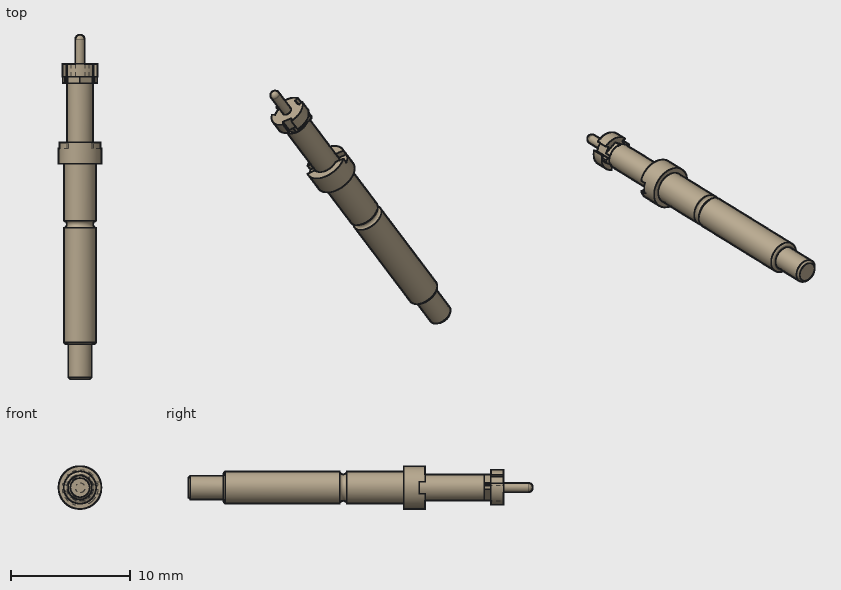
import cadquery as cq
import math


tail_length = 2.95
barrel_end = 18.0
collar_length = 1.8
collar_end = barrel_end + collar_length
sleeve_end = 24.75
neck_length = 0.53
neck_end = sleeve_end + neck_length
head_length = 1.07
head_end = neck_end + head_length
overall_length = 28.8

tail_diameter = 2.0
barrel_diameter = 2.7
collar_diameter = 3.6
sleeve_diameter = 2.2
head_diameter = 3.0
neck_diameter = 2.9
plunger_diameter = 0.8

tail_chamfer = 0.2
barrel_nose_length = 0.17
barrel_nose_depth = 0.25
barrel_nose_bulge = 0.05

groove_center = 12.96
groove_half_width = 0.3
groove_depth = 0.24

collar_slot_width = 1.0
collar_slot_depth = 0.5

neck_apex_height = 1.1
neck_tip_half_height = 0.13

tooth_count = 3
tooth_slot_width = 0.8
tooth_slot_floor = 1.1
first_slot_angle = 30


def cylinder(diameter, start, end):
    """Cylinder on the Y axis between two stations."""
    plane = cq.Plane(origin=(0, start, 0), xDir=(1, 0, 0), normal=(0, 1, 0))
    return cq.Workplane(plane).circle(diameter / 2).extrude(end - start)


def make_tail():
    tail = cylinder(tail_diameter, 0, tail_length)
    return tail.faces("<Y").chamfer(tail_chamfer)


def make_barrel():
    """Barrel with a rounded rear edge and a round groove, turned about Y."""
    radius = barrel_diameter / 2
    nose_chord = math.hypot(barrel_nose_depth, barrel_nose_length)
    nose_middle = (
        radius - barrel_nose_depth / 2 + barrel_nose_bulge * barrel_nose_length / nose_chord,
        tail_length + barrel_nose_length / 2 - barrel_nose_bulge * barrel_nose_depth / nose_chord,
    )
    profile = (
        cq.Workplane("XY")
        .moveTo(0, tail_length)
        .lineTo(radius - barrel_nose_depth, tail_length)
        .threePointArc(nose_middle, (radius, tail_length + barrel_nose_length))
        .lineTo(radius, groove_center - groove_half_width)
        .threePointArc(
            (radius - groove_depth, groove_center),
            (radius, groove_center + groove_half_width),
        )
        .lineTo(radius, barrel_end)
        .lineTo(0, barrel_end)
        .close()
    )
    return profile.revolve(360, (0, 0, 0), (0, 1, 0))


def make_collar():
    collar = cylinder(collar_diameter, barrel_end, collar_end)
    slot = cq.Workplane("XY").box(collar_diameter, collar_slot_depth, collar_slot_width)
    return collar.cut(slot.translate((0, collar_end - collar_slot_depth / 2, 0)))


def make_neck():
    """Diamond section whose side tips are cut off by a cylinder."""
    half_width = neck_diameter / 2
    slope = (neck_apex_height - neck_tip_half_height) / half_width
    diamond_reach = neck_apex_height / slope
    diamond = (
        cq.Workplane("XZ", origin=(0, neck_end, 0))
        .polyline([
            (0, neck_apex_height),
            (diamond_reach, 0),
            (0, -neck_apex_height),
            (-diamond_reach, 0),
        ])
        .close()
        .extrude(neck_length)
    )
    return diamond.intersect(cylinder(neck_diameter, sleeve_end, neck_end))


def cut_tooth_slots(body):
    """Flat-bottomed slots through the head and the neck, evenly spaced about Y."""
    slot_reach = head_diameter / 2
    slot_length = head_end - sleeve_end
    slot = cq.Workplane("XY").box(
        slot_reach, slot_length, tooth_slot_width, centered=(False, False, True)
    ).translate((tooth_slot_floor, sleeve_end, 0))
    for index in range(tooth_count):
        angle = first_slot_angle + index * 360 / tooth_count
        body = body.cut(slot.rotate((0, 0, 0), (0, 1, 0), -angle))
    return body


def make_plunger():
    """Thin plunger pin with a hemispherical tip, turned about Y."""
    radius = plunger_diameter / 2
    tip_start = overall_length - radius
    dome_reach = radius * math.sqrt(0.5)
    profile = (
        cq.Workplane("XY")
        .moveTo(0, head_end)
        .lineTo(radius, head_end)
        .lineTo(radius, tip_start)
        .threePointArc((dome_reach, tip_start + dome_reach), (0, overall_length))
        .close()
    )
    return profile.revolve(360, (0, 0, 0), (0, 1, 0))


sleeve = cylinder(sleeve_diameter, collar_end - collar_slot_depth, sleeve_end)
head = cut_tooth_slots(make_neck().union(cylinder(head_diameter, neck_end, head_end)))

result = (
    make_tail()
    .union(make_barrel())
    .union(make_collar())
    .union(sleeve)
    .union(head)
    .union(make_plunger())
)